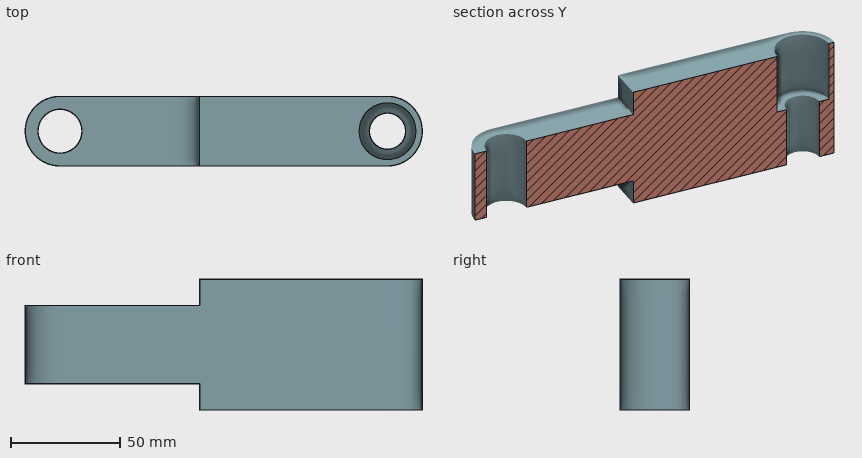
import cadquery as cq

hole_spacing = 150.0
link_width = 32.0
end_radius = link_width / 2

thin_height = 36.0
thick_height = 60.0
step_x = 64.0

thin_hole_diameter = 20.0
thick_hole_diameter = 16.5
counterbore_diameter = 26.0
counterbore_depth = thick_height / 2


def rounded_arm(eye_x, height):
    """Arm from the shoulder to an eye at eye_x, with a full-radius end."""
    arm_length = abs(eye_x - step_x)
    bar = (
        cq.Workplane("XY")
        .center((eye_x + step_x) / 2, 0)
        .rect(arm_length, link_width)
        .extrude(height / 2, both=True)
    )
    eye = (
        cq.Workplane("XY")
        .center(eye_x, 0)
        .circle(end_radius)
        .extrude(height / 2, both=True)
    )
    return bar.union(eye)


def drill_thin_end(body):
    """Plain through hole in the thin end."""
    pin_hole = (
        cq.Workplane("XY")
        .circle(thin_hole_diameter / 2)
        .extrude(thin_height / 2, both=True)
    )
    return body.cut(pin_hole)


def drill_thick_end(body):
    """Through hole in the thick end, counterbored from the top."""
    return (
        body.faces(">Z")
        .workplane(origin=(hole_spacing, 0, 0))
        .cboreHole(thick_hole_diameter, counterbore_diameter, counterbore_depth)
    )


thin_arm = rounded_arm(0, thin_height)
thick_arm = rounded_arm(hole_spacing, thick_height)
link = thin_arm.union(thick_arm)
result = drill_thick_end(drill_thin_end(link))